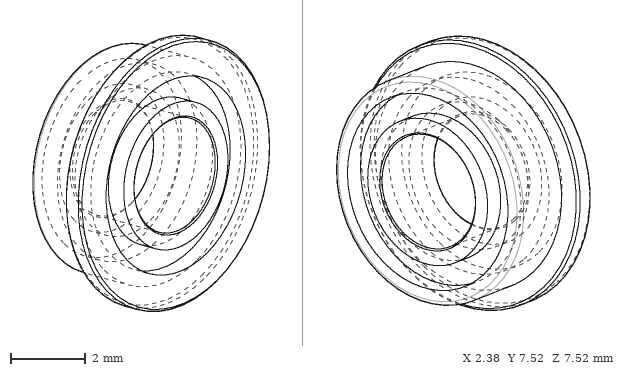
import cadquery as cq

width = 2.38
flange_diameter = 7.52
flange_thickness = 0.59
flange_chamfer = 0.075
body_diameter = 6.36
body_fillet = 0.13
outer_ring_bore = 5.48
inner_ring_diameter = 4.1
bore_diameter = 3.19
bore_chamfer = 0.045
recess_depth = 0.57


def cylinder(diameter, length, start=0.0):
    """Solid cylinder along +X, beginning at x = start."""
    return cq.Workplane("YZ", origin=(start, 0, 0)).circle(diameter / 2).extrude(length)


body = cylinder(body_diameter, width).faces("<X").edges().fillet(body_fillet)
flange = cylinder(flange_diameter, flange_thickness, width - flange_thickness)
flange = flange.faces("<X or >X").edges().chamfer(flange_chamfer)
bearing = body.union(flange)

bearing = bearing.cut(cylinder(bore_diameter, width))
bore_ends = cq.selectors.RadiusNthSelector(0)
bearing = bearing.faces("<X or >X").edges(bore_ends).chamfer(bore_chamfer)

for recess_start in (0.0, width - recess_depth):
    recess = cylinder(outer_ring_bore, recess_depth, recess_start).cut(
        cylinder(inner_ring_diameter, recess_depth, recess_start)
    )
    bearing = bearing.cut(recess)

result = bearing